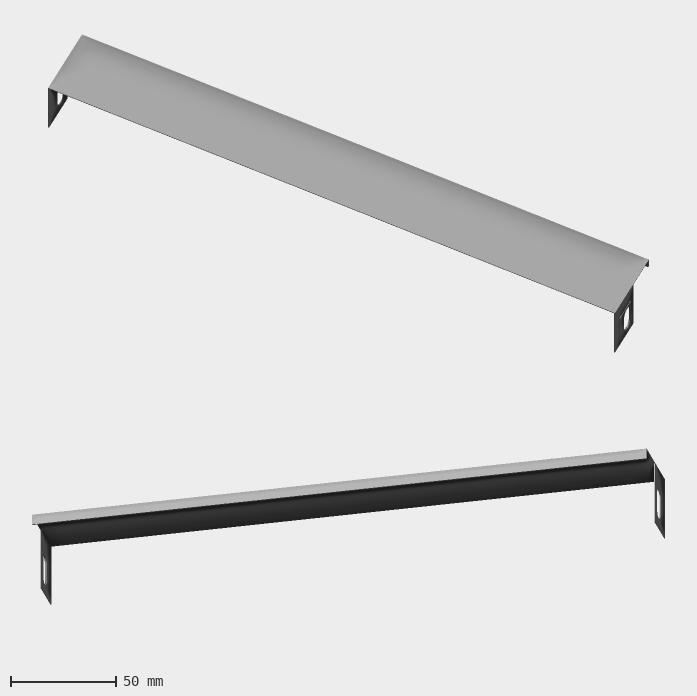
import cadquery as cq

length = 301.5
depth = 36.0
height = 30.8
thickness = 0.45

pad_height = 0.3
pad_depth = 11.8
pad_length = 18.7
pad_front_gap = 4.5
pad_top_gap = 9.5

flange_depth = 19.5
lip_height = 5.0
lip_thickness = 0.75

slot_width = 6.3
slot_length = 15.0
slot_front_gap = 12.5
slot_top_gap = 18.5

strip_length = length - pad_height


def block(size, corner):
    """Box with its lowest-coordinate corner at the given place."""
    return cq.Workplane("XY").box(*size, centered=False).translate(corner)


part = block((strip_length, depth, thickness), (0, 0, height - thickness))

part = part.union(
    block((strip_length, lip_thickness, lip_height), (0, depth - lip_thickness, height - lip_height))
)

for flange_x in (0, strip_length - thickness):
    part = part.union(block((thickness, flange_depth, height), (flange_x, 0, 0)))

pad_bottom = height - pad_top_gap - pad_length
part = part.union(block((pad_height, pad_depth, pad_length), (strip_length, pad_front_gap, pad_bottom)))

slot_cutter = (
    cq.Workplane("YZ")
    .center(slot_front_gap, height - slot_top_gap)
    .slot2D(slot_length, slot_width, 90)
    .extrude(length)
)
result = part.cut(slot_cutter)